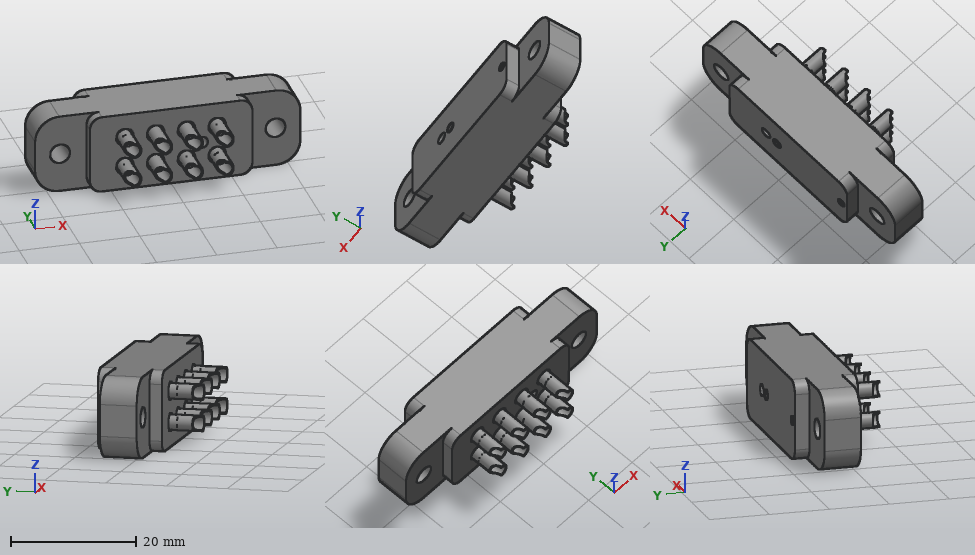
import cadquery as cq
import math

flange_length = 44.0
height = 13.2
flange_corner_radius = 4.0
flange_thickness = 6.05
block_length = 26.95
block_corner_radius = 2.0
front_step = 2.02
back_step = 2.4
block_depth = front_step + flange_thickness + back_step

mount_hole_diameter = 3.25
mount_hole_offset = 17.85
key_hole_diameter = 1.95

contact_pitch = 5.1
contact_columns = 4
contact_rows = 2
contact_diameter = 2.5
contact_length = 5.3
clearance_diameter = 2.9
clearance_depth = 0.45
cup_diameter = 2.1
cup_depth = 3.95
cup_point_angle = 118.0
cup_notch_radius = 1.4

mark_height = 0.1
marks = [(-12.2, 1.45), (contact_pitch / 2, 1.7)]

contact_tip_y = -contact_length
cup_bottom_y = contact_tip_y + cup_depth
contact_spots = [
    (
        (column - (contact_columns - 1) / 2) * contact_pitch,
        (row - (contact_rows - 1) / 2) * contact_pitch,
    )
    for column in range(contact_columns)
    for row in range(contact_rows)
]


def facing_back(y):
    """Workplane at the given Y whose local axes are X, Z and whose extrusions run toward +Y."""
    return cq.Workplane(cq.Plane(origin=(0, y, 0), xDir=(1, 0, 0), normal=(0, 1, 0)))


def rods(y, spots, diameter, length):
    """Cylinders along Y, starting at the given Y; spots are (x, z) pairs."""
    local_spots = [(x, -z) for x, z in spots]
    return facing_back(y).pushPoints(local_spots).circle(diameter / 2).extrude(length)


def rounded_plate(y, length, thickness, corner_radius):
    return facing_back(y).rect(length, height).extrude(thickness).edges("|Y").fillet(corner_radius)


def solder_cup(x, z):
    """Drilled bore with a conical bottom, opening at the contact tip."""
    cup_radius = cup_diameter / 2
    point_depth = cup_radius / math.tan(math.radians(cup_point_angle / 2))
    profile = (
        cq.Workplane("XY")
        .moveTo(0, contact_tip_y)
        .lineTo(cup_radius, contact_tip_y)
        .lineTo(cup_radius, cup_bottom_y)
        .lineTo(0, cup_bottom_y + point_depth)
        .close()
    )
    return profile.revolve(360, (0, 0, 0), (0, 1, 0)).translate((x, 0, z))


def cup_notch(x, z):
    """Round notch that opens the -X half of the contact tip."""
    return (
        cq.Workplane("XY", origin=(0, 0, z - contact_diameter / 2))
        .center(x - cup_notch_radius, contact_tip_y)
        .circle(cup_notch_radius)
        .extrude(contact_diameter)
    )


flange = rounded_plate(front_step, flange_length, flange_thickness, flange_corner_radius)
block = rounded_plate(0, block_length, block_depth, block_corner_radius)
result = flange.union(block)

mount_spots = [(-mount_hole_offset, 0), (mount_hole_offset, 0)]
result = result.cut(rods(0, mount_spots, mount_hole_diameter, block_depth))
result = result.cut(rods(0, [(contact_pitch, 0)], key_hole_diameter, block_depth))

result = result.cut(rods(0, contact_spots, clearance_diameter, clearance_depth))
rod_length = contact_length + clearance_depth
result = result.union(rods(contact_tip_y, contact_spots, contact_diameter, rod_length))
for contact_x, contact_z in contact_spots:
    result = result.cut(solder_cup(contact_x, contact_z))
    result = result.cut(cup_notch(contact_x, contact_z))

for mark_x, mark_diameter in marks:
    result = result.union(rods(block_depth, [(mark_x, 0)], mark_diameter, mark_height))